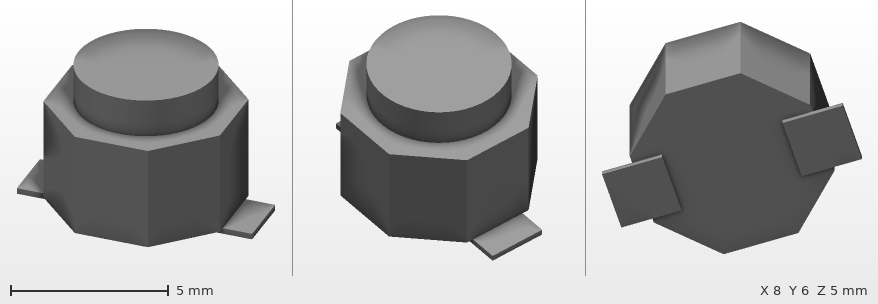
import cadquery as cq
import math

overall_length = 8.0
overall_height = 5.0

housing_across_flats = 6.0
housing_height = 3.5

button_diameter = 4.6

terminal_side = 2.0
terminal_thickness = 0.2

corner_cut = housing_across_flats * (1 - math.tan(math.pi / 8)) / 2

housing_top = terminal_thickness + housing_height
button_height = overall_height - housing_top
terminal_offset = (overall_length - terminal_side) / 2


def make_housing():
    """Regular octagonal prism with flats facing X and Y, resting on the terminals."""
    return (
        cq.Workplane("XY")
        .workplane(offset=terminal_thickness)
        .rect(housing_across_flats, housing_across_flats)
        .extrude(housing_height)
        .edges("|Z")
        .chamfer(corner_cut)
    )


def make_button():
    """Plain cylinder standing on the top face of the housing."""
    return (
        cq.Workplane("XY")
        .workplane(offset=housing_top)
        .circle(button_diameter / 2)
        .extrude(button_height)
    )


def make_terminal(side):
    """Flat terminal reaching out past the housing; side is -1 or +1 along X."""
    return (
        cq.Workplane("XY")
        .center(side * terminal_offset, 0)
        .rect(terminal_side, terminal_side)
        .extrude(terminal_thickness)
    )


housing = make_housing()
button = make_button()
terminals = [make_terminal(side) for side in (-1, 1)]

result = cq.Compound.makeCompound(
    [housing.val(), button.val(), *[terminal.val() for terminal in terminals]]
)